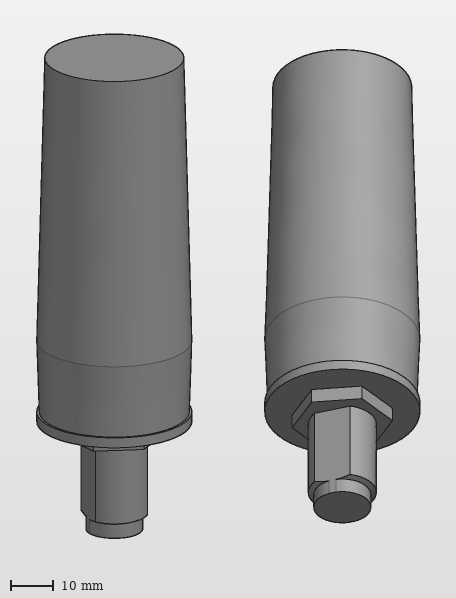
import cadquery as cq
import math

tip_top = 3.5
shaft_chamfer_top = 4.1
hex_bottom = 23.4
flange_bottom = 26.9
grip_bottom = 29.4
grip_widest = 47.2
grip_top = 117.9

grip_bottom_radius = 17.7
grip_widest_radius = 18.3
grip_top_radius = 16.4

flange_radius = grip_widest_radius
hex_corner_radius = 11.9
hex_turn = 13.3
shaft_radius = 8.0
tip_radius = 6.7
tip_flat_width = 1.8
flat_distance = math.sqrt(tip_radius**2 - (tip_flat_width / 2) ** 2)


def make_grip():
    """Handle that tapers both ways from its widest ring."""
    return (
        cq.Workplane("XZ")
        .moveTo(0, grip_bottom)
        .lineTo(grip_bottom_radius, grip_bottom)
        .lineTo(grip_widest_radius, grip_widest)
        .lineTo(grip_top_radius, grip_top)
        .lineTo(0, grip_top)
        .close()
        .revolve(360, (0, 0), (0, 1))
    )


def make_shaft():
    """Shaft with a chamfered shoulder and a narrower tip, cut by two flats facing -Y and +Y."""
    round_shaft = (
        cq.Workplane("XZ")
        .lineTo(tip_radius, 0)
        .lineTo(tip_radius, tip_top)
        .lineTo(shaft_radius, shaft_chamfer_top)
        .lineTo(shaft_radius, hex_bottom)
        .lineTo(0, hex_bottom)
        .close()
        .revolve(360, (0, 0), (0, 1))
    )
    between_flats = cq.Workplane("XY").rect(2 * shaft_radius, 2 * flat_distance).extrude(hex_bottom)
    return round_shaft.intersect(between_flats)


def make_hexagon():
    """Hexagonal wrench section, turned about the axis."""
    return (
        cq.Workplane("XY", origin=(0, 0, hex_bottom))
        .polygon(6, 2 * hex_corner_radius)
        .extrude(flange_bottom - hex_bottom)
        .rotate((0, 0, 0), (0, 0, 1), hex_turn)
    )


def make_flange():
    """Round plate that the grip sits on."""
    return (
        cq.Workplane("XY", origin=(0, 0, flange_bottom))
        .circle(flange_radius)
        .extrude(grip_bottom - flange_bottom)
    )


def make_stud():
    """Shaft, hexagon and flange as one solid."""
    return make_shaft().union(make_hexagon()).union(make_flange())


grip = make_grip()
stud = make_stud()

result = cq.Compound.makeCompound([grip.val(), stud.val()])